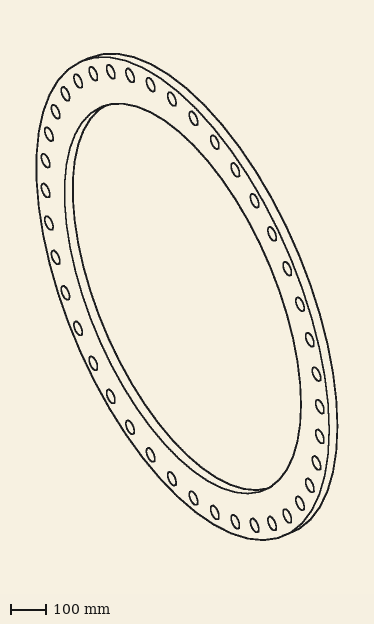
import cadquery as cq

OUTER_DIAMETER = 1454.15
INNER_DIAMETER = 1173.23
THICKNESS = 28.575

BOLT_HOLE_COUNT = 40
BOLT_HOLE_DIAMETER = 41.275
BOLT_CIRCLE_DIAMETER = 1365.25
BOLT_PITCH_ANGLE = 360 / BOLT_HOLE_COUNT


def back_face_plane():
    """Workplane on the +Y face of the ring; extrusions from it run toward -Y."""
    return cq.Workplane("XZ", origin=(0, THICKNESS / 2, 0))


def make_ring():
    """Plain annular plate."""
    return (
        back_face_plane()
        .circle(OUTER_DIAMETER / 2)
        .circle(INNER_DIAMETER / 2)
        .extrude(THICKNESS)
    )


def make_bolt_holes():
    """Cylinders that cut the evenly spaced through holes."""
    return (
        back_face_plane()
        .polarArray(BOLT_CIRCLE_DIAMETER / 2, BOLT_PITCH_ANGLE / 2, 360, BOLT_HOLE_COUNT)
        .circle(BOLT_HOLE_DIAMETER / 2)
        .extrude(THICKNESS)
    )


result = make_ring().cut(make_bolt_holes())